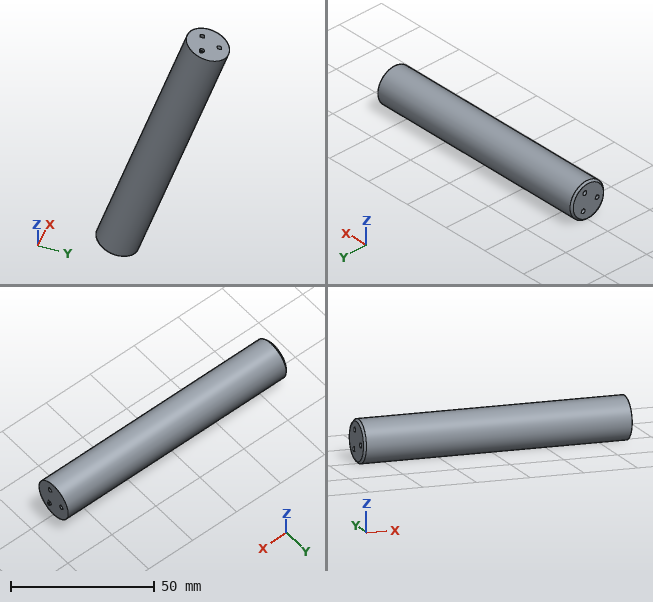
import cadquery as cq
import math

total_length = 100.0
rod_diameter = 16.0
chamfer_size = 0.8

channel_count = 3
channel_diameter = 1.7
channel_ring_radius = 4.2
first_channel_angle = 66.0
helix_angle = 30.0

nub_diameter = 1.2
nub_height = 0.1
nub_y = -2.5
nub_z = -4.5

rod_length = total_length - nub_height
helix_pitch = math.pi * rod_diameter / math.tan(math.radians(helix_angle))
channel_twist = 360 * total_length / helix_pitch


def make_rod():
    rod = cq.Workplane("YZ").circle(rod_diameter / 2).extrude(rod_length)
    return rod.faces("<X").chamfer(chamfer_size)


def make_nub():
    nub = cq.Workplane("YZ").center(nub_y, nub_z).circle(nub_diameter / 2)
    return nub.extrude(nub_height).translate((rod_length, 0, 0))


def make_channel(start_angle):
    """Right-handed channel twisting about the rod axis."""
    angle = math.radians(start_angle)
    centre = (channel_ring_radius * math.cos(angle), channel_ring_radius * math.sin(angle))
    section = cq.Workplane("YZ").pushPoints([centre]).circle(channel_diameter / 2)
    return section.twistExtrude(total_length, channel_twist)


result = make_rod()
for index in range(channel_count):
    result = result.cut(make_channel(first_channel_angle + index * 360 / channel_count))
result = result.union(make_nub())